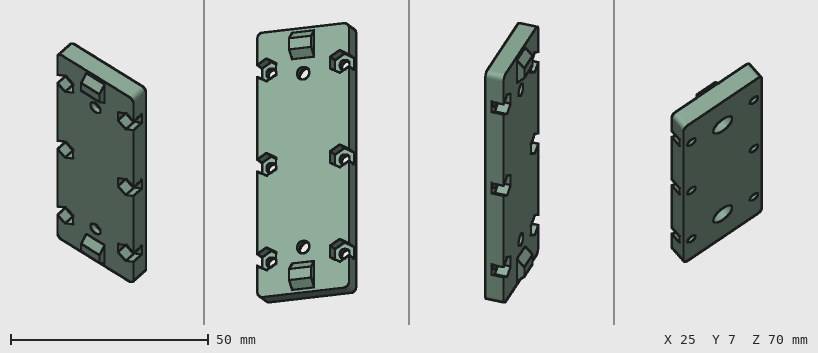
import cadquery as cq
import math

plate_height = 70.0
plate_width = 25.0
plate_thickness = 5.0
overall_depth = 7.0
corner_radius = 1.5

screw_diameter = 2.65
screw_edge_distance = 2.5
screw_pitch = 25.0
nut_across_corners = 6.0
nut_pocket_depth = 3.3

mount_diameter = 3.3
mount_spacing = 46.0
counterbore_diameter = 6.0
counterbore_floor = 1.75

lug_width = 6.0
lug_base_height = 7.0
lug_projection = overall_depth - plate_thickness
lug_end_distance = 1.0

screw_x = plate_width / 2 - screw_edge_distance
screw_points = [(x, z) for x in (-screw_x, screw_x) for z in (-screw_pitch, 0, screw_pitch)]
mount_points = [(0, -mount_spacing / 2), (0, mount_spacing / 2)]


def front_plane(depth=0):
    """Plane parallel to the front face, at a depth into the plate; its normal points to -Y."""
    return cq.Workplane("XZ", origin=(0, depth, 0))


def make_plate():
    return (
        front_plane()
        .rect(plate_width, plate_height)
        .extrude(-plate_thickness)
        .edges("|Y")
        .fillet(corner_radius)
    )


def make_nut_pocket(x, z):
    """Hexagonal prism with its corners pointing up and down."""
    radius = nut_across_corners / 2
    angles = [math.radians(90 + 60 * i) for i in range(6)]
    corners = [(x + radius * math.cos(a), z + radius * math.sin(a)) for a in angles]
    return front_plane().polyline(corners).close().extrude(-nut_pocket_depth)


def make_lug(center_z):
    half_base = lug_base_height / 2
    half_tip = half_base - lug_projection
    profile = [
        (0, center_z - half_base),
        (-lug_projection, center_z - half_tip),
        (-lug_projection, center_z + half_tip),
        (0, center_z + half_base),
    ]
    return cq.Workplane("YZ").polyline(profile).close().extrude(lug_width / 2, both=True)


def make_holes(points, diameter, start_depth=0):
    """Cylinders from a depth behind the front face through to the back face."""
    length = plate_thickness - start_depth
    return front_plane(start_depth).pushPoints(points).circle(diameter / 2).extrude(-length)


result = make_plate()
result = result.cut(make_holes(screw_points, screw_diameter))
result = result.cut(make_holes(mount_points, mount_diameter))
result = result.cut(make_holes(mount_points, counterbore_diameter, counterbore_floor))

for x, z in screw_points:
    result = result.cut(make_nut_pocket(x, z))

lug_z = plate_height / 2 - lug_end_distance - lug_base_height / 2
for z in (-lug_z, lug_z):
    result = result.union(make_lug(z))